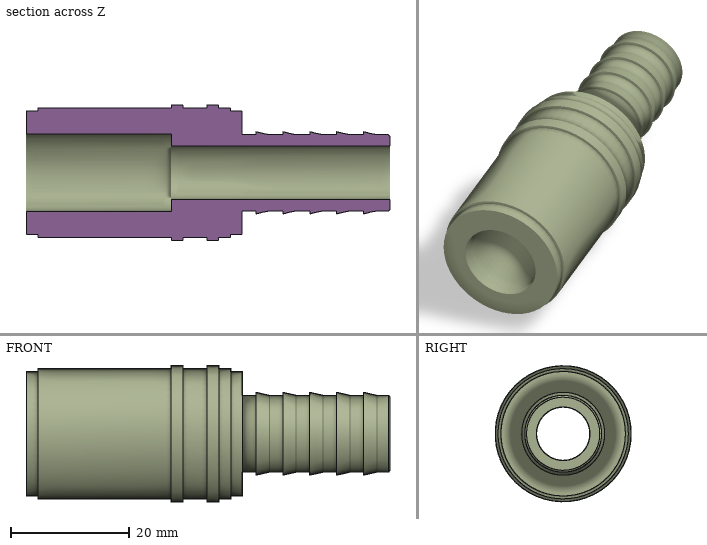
import cadquery as cq

total_length = 61.5

body_length = 36.55
body_diameter = 22.0
lip_diameter = 21.05
lip_length = 1.95

collar_diameter = 23.0
collar_width = 2.0
collar_starts = (24.5, 30.5)

tail_diameter = 13.0
barb_diameter = 14.0
barb_count = 5
tail_length = total_length - body_length
stretch_length = tail_length / (2 * barb_count + 1)
tip_chamfer = 0.3

socket_diameter = 13.0
socket_depth = collar_starts[0]
bore_diameter = 9.0


def cylinder(start, length, diameter):
    """Solid cylinder on the X axis."""
    return cq.Workplane("YZ", origin=(start, 0, 0)).circle(diameter / 2).extrude(length)


def barb(start):
    """Cone on the X axis, steep at its start and tapering down to the tail diameter."""
    return (
        cq.Workplane("XZ")
        .moveTo(start, 0)
        .lineTo(start, barb_diameter / 2)
        .lineTo(start + stretch_length, tail_diameter / 2)
        .lineTo(start + stretch_length, 0)
        .close()
        .revolve(360, (0, 0, 0), (1, 0, 0))
    )


def make_body():
    """Body with a reduced lip at each end and two raised collars."""
    body = cylinder(0, body_length, lip_diameter)
    body = body.union(cylinder(lip_length, body_length - 2 * lip_length, body_diameter))
    for start in collar_starts:
        body = body.union(cylinder(start, collar_width, collar_diameter))
    return body


def make_tail():
    """Hose tail with a chamfered tip and evenly spaced barbs."""
    tail = cylinder(body_length, tail_length, tail_diameter).faces(">X").edges().chamfer(tip_chamfer)
    for index in range(barb_count):
        tail = tail.union(barb(body_length + (2 * index + 1) * stretch_length))
    return tail


socket = cylinder(0, socket_depth, socket_diameter)
bore = cylinder(0, total_length, bore_diameter)

result = make_body().union(make_tail()).cut(socket).cut(bore)